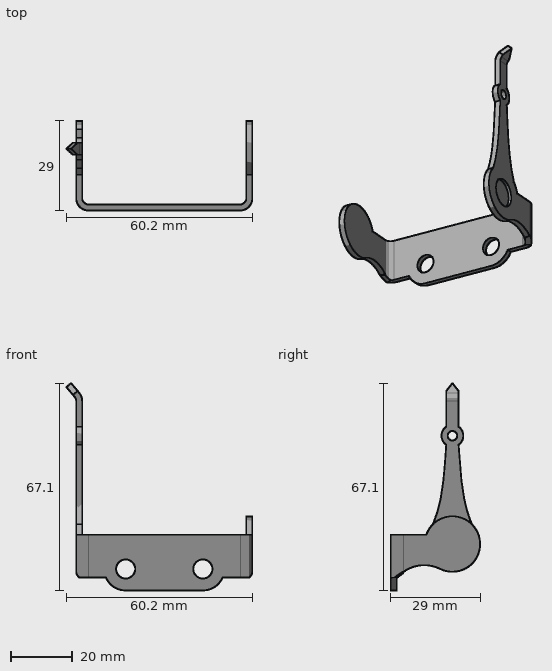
import cadquery as cq
import math

overall_width = 60.2
overall_height = 67.1
body_width = 57.05
sheet = 2.0
bend_inner = 2.0
bend_outer = bend_inner + sheet
wall_top = 18.1
wall_bottom = 4.15

overall_depth = 29.0
ear_radius = 9.0
ear_y = overall_depth - ear_radius
ear_z = 15.05
recess_diameter = 9.3
recess_depth = sheet / 2

underside_radius = 11.4
underside_top = 8.2
underside_z = underside_top - underside_radius
underside_y = ear_y - math.sqrt((ear_radius + underside_radius) ** 2 - (ear_z - underside_z) ** 2)
bend_edge_z = underside_z + math.sqrt(underside_radius**2 - (underside_y - bend_outer) ** 2)
bend_trim_sweep = math.radians(47)

mount_hole_diameter = 6.1
mount_hole_spacing = 25.0
tab_radius = 7.0

lever_half_width = 2.0
eye_z = 50.1
eye_radius = 3.55
eye_hole_diameter = 3.0
neck_z = 47.3
flare = [(2.8, 36.9), (4.5, 26.85)]
flare_base_z = 21.4
flare_base_half = math.sqrt(ear_radius**2 - (flare_base_z - ear_z) ** 2)

tip_angle = math.radians(40)
point_length = 3.35
tip_reach = overall_width - body_width
tip_straight = (tip_reach - bend_inner * (1 - math.cos(tip_angle))) / math.sin(tip_angle)
tip_bend_z = (
    overall_height
    - bend_outer * math.sin(tip_angle)
    - tip_straight * math.cos(tip_angle)
)


def side_plate(outline):
    """Extrude a YZ outline through the thickness of the left arm."""
    return outline.extrude(sheet)


def make_channel():
    """U-shaped strip: front wall, two rounded bends and two straight arms."""
    height = wall_top - wall_bottom
    outer = (
        cq.Workplane("XY", origin=(0, 0, wall_bottom))
        .rect(body_width, ear_y, centered=False)
        .extrude(height)
        .edges("|Z and <Y")
        .fillet(bend_outer)
    )
    inner = (
        cq.Workplane("XY", origin=(sheet, sheet, wall_bottom))
        .rect(body_width - 2 * sheet, ear_y, centered=False)
        .extrude(height)
        .edges("|Z and <Y")
        .fillet(bend_inner)
    )
    return outer.cut(inner)


def make_underside_cut():
    """Volume below the curved lower edge of the straight arms, behind the bends."""
    tangent_share = underside_radius / (ear_radius + underside_radius)
    tangent_y = underside_y + (ear_y - underside_y) * tangent_share
    tangent_z = underside_z + (ear_z - underside_z) * tangent_share
    return (
        cq.Workplane("YZ")
        .moveTo(bend_outer, 0)
        .lineTo(bend_outer, bend_edge_z)
        .threePointArc((underside_y, underside_top), (tangent_y, tangent_z))
        .lineTo(ear_y, tangent_z)
        .lineTo(ear_y, 0)
        .close()
        .extrude(body_width)
    )


def make_bend_cut():
    """Sloped trim continuing the arm's lower edge around the left bend."""
    middle_angle = bend_trim_sweep / 2
    half_run = (bend_inner + bend_outer) / 2 * math.tan(middle_angle)
    slope = (bend_edge_z - wall_bottom) / (2 * half_run)
    reach = bend_outer
    radial = cq.Plane(
        origin=(bend_outer, bend_outer, 0),
        xDir=(-math.sin(middle_angle), math.cos(middle_angle), 0),
        normal=(math.cos(middle_angle), math.sin(middle_angle), 0),
    )
    wedge = (
        cq.Workplane(radial)
        .moveTo(-half_run, wall_bottom)
        .lineTo(reach, wall_bottom + slope * (reach + half_run))
        .lineTo(reach, 0)
        .lineTo(-half_run, 0)
        .close()
        .extrude(-2 * bend_outer)
    )
    bend_zone = cq.Workplane("XY").rect(bend_outer, bend_outer, centered=False).extrude(wall_top)
    return wedge.intersect(bend_zone)


def mirror_across(shape):
    """Copy a left-hand shape to the right-hand side."""
    return shape.mirror("YZ", (body_width / 2, 0, 0))


def make_ear():
    return side_plate(cq.Workplane("YZ").center(ear_y, ear_z).circle(ear_radius))


def make_tab():
    """Tab hanging below the front wall, its corners concentric with the holes."""
    left = (body_width - mount_hole_spacing) / 2
    right = left + mount_hole_spacing
    bar = cq.Workplane("XZ").moveTo(left, 0).lineTo(right, 0).lineTo(right, tab_radius)
    tab = bar.lineTo(left, tab_radius).close().extrude(-sheet)
    for x in (left, right):
        tab = tab.union(cq.Workplane("XZ").center(x, tab_radius).circle(tab_radius).extrude(-sheet))
    return tab


def make_mount_holes():
    offset = mount_hole_spacing / 2
    return (
        cq.Workplane("XZ", origin=(body_width / 2, 0, tab_radius))
        .pushPoints([(-offset, 0), (offset, 0)])
        .circle(mount_hole_diameter / 2)
        .extrude(-sheet)
    )


def make_lever():
    """Flared blade, pivot eye and straight strip up to the tip bend."""
    right_side = [(ear_y - half, z) for half, z in reversed(flare)]
    left_side = [(ear_y + half, z) for half, z in flare]
    blade = side_plate(
        cq.Workplane("YZ")
        .moveTo(ear_y, ear_z)
        .lineTo(ear_y - flare_base_half, flare_base_z)
        .spline(right_side + [(ear_y - lever_half_width, neck_z)], includeCurrent=True)
        .lineTo(ear_y - lever_half_width, tip_bend_z)
        .lineTo(ear_y + lever_half_width, tip_bend_z)
        .lineTo(ear_y + lever_half_width, neck_z)
        .spline(left_side + [(ear_y + flare_base_half, flare_base_z)], includeCurrent=True)
        .close()
    )
    eye = side_plate(cq.Workplane("YZ").center(ear_y, eye_z).circle(eye_radius))
    return blade.union(eye)


def make_tip():
    """Strip bent outward, ending in a symmetrical point."""
    center_x = -bend_inner

    def on_bend(radius, angle):
        return center_x + radius * math.cos(angle), tip_bend_z + radius * math.sin(angle)

    def along_tip(radius):
        x, z = on_bend(radius, tip_angle)
        return x - tip_straight * math.sin(tip_angle), z + tip_straight * math.cos(tip_angle)

    strip = (
        cq.Workplane("XZ", origin=(0, ear_y + lever_half_width, 0))
        .moveTo(0, tip_bend_z)
        .lineTo(sheet, tip_bend_z)
        .threePointArc(on_bend(bend_outer, tip_angle / 2), on_bend(bend_outer, tip_angle))
        .lineTo(*along_tip(bend_outer))
        .lineTo(*along_tip(bend_inner))
        .lineTo(*on_bend(bend_inner, tip_angle))
        .threePointArc(on_bend(bend_inner, tip_angle / 2), (0, tip_bend_z))
        .close()
        .extrude(2 * lever_half_width)
    )
    end_x, end_z = along_tip(bend_inner)
    tip_face = cq.Plane(
        origin=(end_x, ear_y, end_z),
        xDir=(0, 1, 0),
        normal=(math.cos(tip_angle), 0, math.sin(tip_angle)),
    )
    for side in (-1, 1):
        corner = (
            cq.Workplane(tip_face)
            .polyline([(0, 0), (side * lever_half_width, 0), (side * lever_half_width, -point_length)])
            .close()
            .extrude(sheet)
        )
        strip = strip.cut(corner)
    return strip


bend_cut = make_bend_cut()
ear = make_ear()
bracket = make_channel().cut(make_underside_cut()).cut(bend_cut).cut(mirror_across(bend_cut))
bracket = bracket.union(ear).union(mirror_across(ear))
bracket = bracket.union(make_tab()).union(make_lever()).union(make_tip())

eye_hole = side_plate(cq.Workplane("YZ").center(ear_y, eye_z).circle(eye_hole_diameter / 2))
recess = cq.Workplane("YZ").center(ear_y, ear_z).circle(recess_diameter / 2).extrude(recess_depth)
result = bracket.cut(make_mount_holes()).cut(eye_hole).cut(recess)